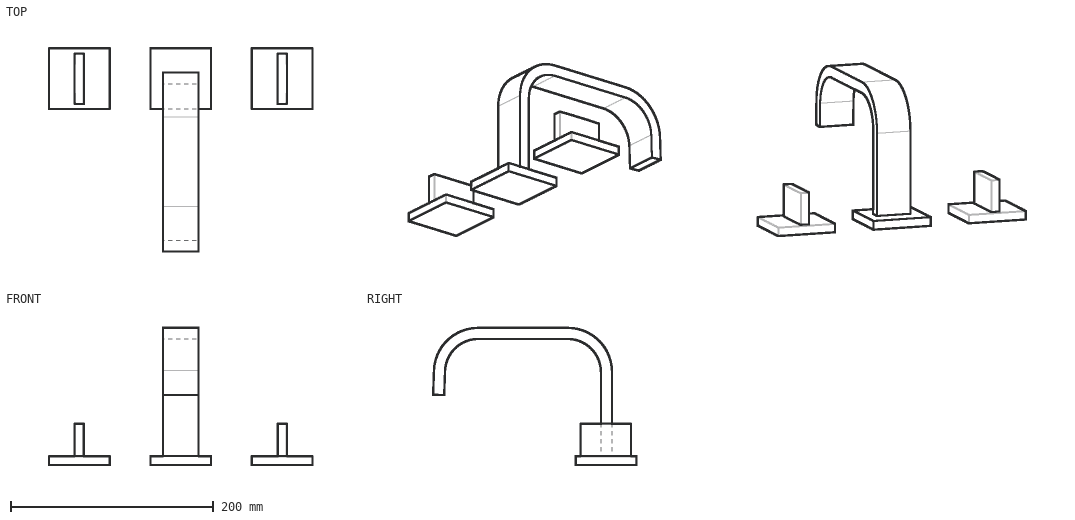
import cadquery as cq
import math

overall_width = 260.0
overall_depth = 200.7
plate_side = 60.0
plate_height = 8.8
handle_spacing = (overall_width - plate_side) / 2

lever_thickness = 9.0
lever_length = 50.0
lever_height = 32.0
lever_setback = 0.3
lever_bow = 0.5
edge_radius = 0.8

spout_width = 35.0
spout_thickness = 11.2
spout_top = 135.5
spout_back = 6.0
spout_reach = overall_depth - plate_side / 2
lip_height = 69.0
bend_radius = 43.7
front_tilt = 2.0


def make_plate():
    """Square plate resting on the mounting surface."""
    return cq.Workplane("XY").box(plate_side, plate_side, plate_height, centered=(True, True, False))


def make_handle_plate(side):
    plate = make_plate().edges("|Z or >Z").fillet(edge_radius)
    return plate.translate((side * handle_spacing, 0, 0))


def make_lever(side):
    """Upright lever whose outward side (side = -1 or +1) is slightly bowed."""
    half_thickness = lever_thickness / 2
    half_length = lever_length / 2
    lever = (
        cq.Workplane("XY")
        .moveTo(-side * half_thickness, -half_length)
        .lineTo(side * half_thickness, -half_length)
        .threePointArc(
            (side * (half_thickness + lever_bow), 0),
            (side * half_thickness, half_length),
        )
        .lineTo(-side * half_thickness, half_length)
        .close()
        .extrude(lever_height)
        .edges("|Z or >Z")
        .fillet(edge_radius)
    )
    return lever.translate((side * handle_spacing, -lever_setback, plate_height))


def make_spout():
    """Arched strip: vertical rear leg, two round bends and a leaning outlet."""
    tilt = math.radians(front_tilt)
    inner_radius = bend_radius - spout_thickness
    center_z = spout_top - bend_radius
    back_center_y = spout_back - bend_radius

    lip_z = lip_height + spout_thickness * math.sin(tilt)
    leg_length = (center_z + bend_radius * math.sin(tilt) - lip_z) / math.cos(tilt)
    front_center_y = -spout_reach + bend_radius * math.cos(tilt) + leg_length * math.sin(tilt)

    def back_point(radius, angle):
        return (back_center_y + radius * math.cos(angle), center_z + radius * math.sin(angle))

    def front_point(radius, angle):
        return (front_center_y - radius * math.cos(angle), center_z + radius * math.sin(angle))

    def outlet_point(radius):
        y, z = front_point(radius, tilt)
        return (y - leg_length * math.sin(tilt), z - leg_length * math.cos(tilt))

    right_angle = math.pi / 2
    back_middle = right_angle / 2
    front_middle = (right_angle + tilt) / 2
    return (
        cq.Workplane("YZ")
        .moveTo(spout_back, plate_height)
        .lineTo(*back_point(bend_radius, 0))
        .threePointArc(back_point(bend_radius, back_middle), back_point(bend_radius, right_angle))
        .lineTo(*front_point(bend_radius, right_angle))
        .threePointArc(front_point(bend_radius, front_middle), front_point(bend_radius, tilt))
        .lineTo(*outlet_point(bend_radius))
        .lineTo(*outlet_point(inner_radius))
        .lineTo(*front_point(inner_radius, tilt))
        .threePointArc(front_point(inner_radius, front_middle), front_point(inner_radius, right_angle))
        .lineTo(*back_point(inner_radius, right_angle))
        .threePointArc(back_point(inner_radius, back_middle), back_point(inner_radius, 0))
        .lineTo(spout_back - spout_thickness, plate_height)
        .close()
        .extrude(spout_width / 2, both=True)
    )


spout_base = make_plate()
spout = make_spout()

handle_plates = []
levers = []
for side in (-1, 1):
    handle_plates.append(make_handle_plate(side).val())
    levers.append(make_lever(side).val())

result = cq.Compound.makeCompound([spout_base.val(), spout.val(), *handle_plates, *levers])